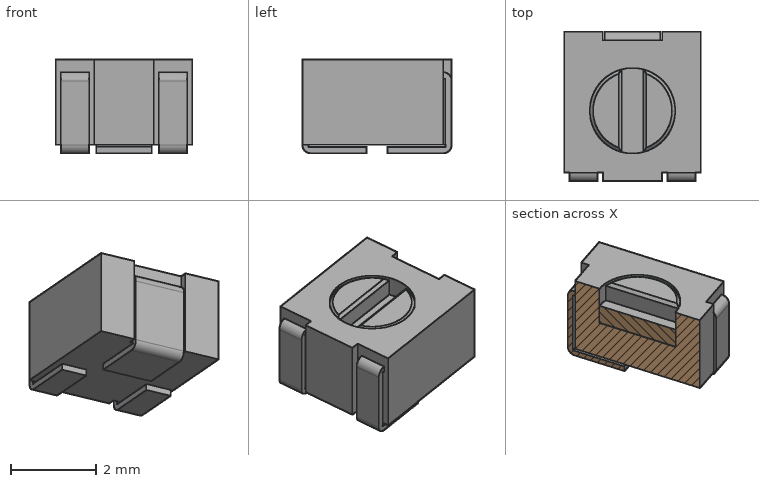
import cadquery as cq

length = 3.5
width = 3.2
housing_height = 2.002
step_depth = 0.2
tab_width = 1.39

rotor_radius = 1.0
rotor_height = 1.0
rotor_y = -0.1
slot_width = 0.5
slot_depth = 0.5
rotor_chamfer = 0.077

sheet = 0.15
bend_radius = step_depth
foot_length = 1.505
foot_drop = step_depth
terminal_top = housing_height - 0.3
front_terminal_width = 0.66
front_terminal_x = 1.148
rear_terminal_width = 1.305

front_y = -length / 2
rear_y = length / 2
step_y = front_y + step_depth
notch_y = rear_y - step_depth


def box_between(x_size, y_start, y_end, z_start, z_end):
    """Box centred on X, spanning the given Y and Z ranges."""
    return (
        cq.Workplane("XY", origin=(0, (y_start + y_end) / 2, z_start))
        .rect(x_size, y_end - y_start)
        .extrude(z_end - z_start)
    )


def make_housing():
    """Block with a front tab, a rear notch and a blind round socket for the rotor."""
    block = box_between(width, step_y, rear_y, 0, housing_height)
    tab = box_between(tab_width, front_y, step_y, 0, housing_height)
    notch = box_between(tab_width, notch_y, rear_y, 0, housing_height)
    socket = (
        cq.Workplane("XY", origin=(0, rotor_y, housing_height))
        .circle(rotor_radius)
        .extrude(-rotor_height)
    )
    return block.union(tab).cut(notch).cut(socket)


def make_rotor():
    """Disc flush with the housing top, with a screwdriver slot and chamfered top edges."""
    disc = (
        cq.Workplane("XY", origin=(0, rotor_y, housing_height - rotor_height))
        .circle(rotor_radius)
        .extrude(rotor_height)
    )
    slot = box_between(
        slot_width,
        rotor_y - rotor_radius,
        rotor_y + rotor_radius,
        housing_height - slot_depth,
        housing_height,
    )
    return disc.cut(slot).faces(">Z").edges().chamfer(rotor_chamfer)


def make_terminal(terminal_width, center_x):
    """Strip hooked onto the step face, running down and folding under the housing."""
    profile = (
        cq.Workplane("YZ", origin=(center_x, 0, 0))
        .moveTo(step_y, terminal_top)
        .radiusArc((front_y, terminal_top - bend_radius), -bend_radius)
        .lineTo(front_y, bend_radius - foot_drop)
        .radiusArc((front_y + bend_radius, -foot_drop), -bend_radius)
        .lineTo(front_y + foot_length, -foot_drop)
        .lineTo(front_y + foot_length, sheet - foot_drop)
        .lineTo(front_y + sheet, sheet - foot_drop)
        .lineTo(front_y + sheet, terminal_top - sheet)
        .lineTo(step_y, terminal_top - sheet)
        .close()
    )
    return profile.extrude(terminal_width / 2, both=True)


housing = make_housing()
rotor = make_rotor()
front_terminals = [
    make_terminal(front_terminal_width, side * front_terminal_x) for side in (-1, 1)
]
rear_terminal = make_terminal(rear_terminal_width, 0).mirror("XZ")

result = cq.Compound.makeCompound([
    housing.val(),
    rotor.val(),
    *[terminal.val() for terminal in front_terminals],
    rear_terminal.val(),
])